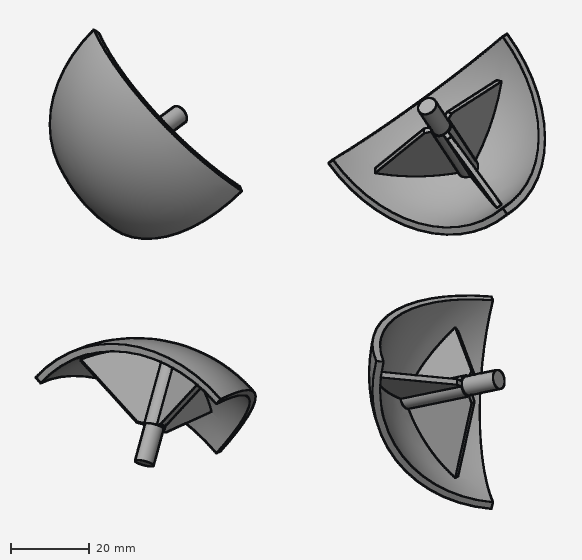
import cadquery as cq
import math

corner_angles = (0, 120, 240)

outer_radius = 40.0
shell_thickness = 2.0
inner_radius = outer_radius - shell_thickness

stem_radius = 2.5
stem_end_y = -8.4
stem_free_length = 10.0
stem_collar_radius = 2.75

rib_thickness = 1.5
rib_top_reach = 4.6
rib_slope = 1.5
rib_top_y = stem_end_y - stem_free_length

root_radius = inner_radius + shell_thickness / 2


def corner_direction(angle):
    """Unit vector from the sphere centre to the octant corner at this angle around Y."""
    spread = math.sqrt(2 / 3)
    return cq.Vector(
        spread * math.cos(math.radians(angle)),
        -1 / math.sqrt(3),
        spread * math.sin(math.radians(angle)),
    )


def make_shell():
    """Quarter ring spanning two corners, turned 90 degrees about the upper corner to the third."""
    upper_corner = corner_direction(corner_angles[1])
    lower_corner = corner_direction(corner_angles[2])
    ring_plane = cq.Plane(
        origin=(0, 0, 0),
        xDir=lower_corner,
        normal=lower_corner.cross(upper_corner),
    )
    diagonal = math.sqrt(0.5)
    return (
        cq.Workplane(ring_plane)
        .moveTo(inner_radius, 0)
        .lineTo(outer_radius, 0)
        .threePointArc((outer_radius * diagonal, outer_radius * diagonal), (0, outer_radius))
        .lineTo(0, inner_radius)
        .threePointArc((inner_radius * diagonal, inner_radius * diagonal), (inner_radius, 0))
        .close()
        .revolve(90, (0, 0), (0, 1))
    )


def make_stem():
    """Round stem with a thicker lower part from the rib tops to the shell."""
    free_part = cq.Workplane("XZ", origin=(0, stem_end_y, 0)).circle(stem_radius).extrude(stem_free_length)
    collar = (
        cq.Workplane("XZ", origin=(0, rib_top_y, 0))
        .circle(stem_collar_radius)
        .extrude(root_radius + rib_top_y)
    )
    return free_part.union(collar)


def make_rib(angle):
    """Flat rib with a sloped outer edge, its foot following the curve of the shell."""
    slope_term = rib_slope**2 + 1
    linear_term = rib_top_reach * rib_slope - rib_top_y
    offset_term = rib_top_reach**2 + rib_top_y**2 - root_radius**2
    depth = (math.sqrt(linear_term**2 - slope_term * offset_term) - linear_term) / slope_term
    foot_x = rib_top_reach + rib_slope * depth
    foot_y = rib_top_y - depth
    half_foot_angle = math.atan2(foot_x, -foot_y) / 2
    foot_middle = (root_radius * math.sin(half_foot_angle), -root_radius * math.cos(half_foot_angle))
    return (
        cq.Workplane("XY")
        .moveTo(0, rib_top_y)
        .lineTo(rib_top_reach, rib_top_y)
        .lineTo(foot_x, foot_y)
        .threePointArc(foot_middle, (0, -root_radius))
        .close()
        .extrude(rib_thickness / 2, both=True)
        .rotate((0, 0, 0), (0, -1, 0), angle)
    )


result = make_shell().union(make_stem())
for corner_angle in corner_angles:
    result = result.union(make_rib(corner_angle))